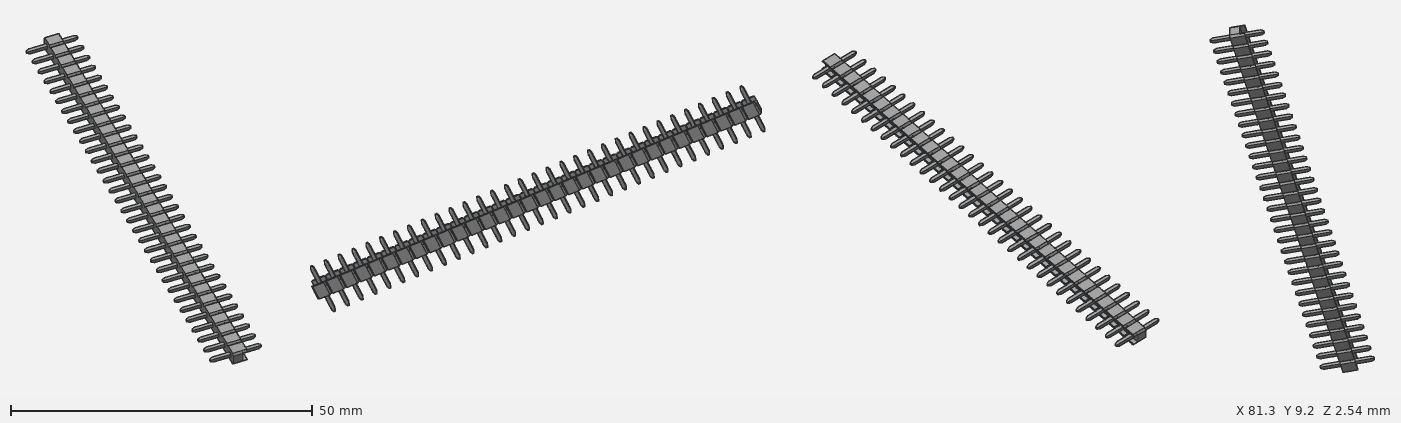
import cadquery as cq

pin_count = 32
row_length = 81.3
pitch = row_length / pin_count

body_height = pitch
body_depth = pitch
bevel_width = 0.3
bevel_height = 0.45

groove_depth = 0.8
groove_height = 1.8

pin_length = 9.2
rear_reach = 3.0
pin_width = 0.64
pin_offset = -0.12
tip_length = 0.53
tip_width = 0.3

body_rear = body_depth / 2
pin_rear = body_rear + rear_reach
pin_front = pin_rear - pin_length


def block_center(index):
    """X of a block's middle, with the row centred on X = 0."""
    return (index - (pin_count - 1) / 2) * pitch


def body_outline():
    """Closed XZ outline of the blocks: along the top, then back along the bottom."""
    half_height = body_height / 2
    half_flat = pitch / 2 - bevel_width
    neck = half_height - bevel_height
    top = [(-row_length / 2, neck)]
    for index in range(pin_count):
        x = block_center(index)
        top.append((x - half_flat, half_height))
        top.append((x + half_flat, half_height))
        top.append((x + pitch / 2, neck))
    bottom = [(x, -z) for x, z in reversed(top)]
    return top + bottom


def make_body():
    """Row of bevelled blocks with the groove cut along its +Y face."""
    blocks = (
        cq.Workplane("XZ", origin=(0, body_rear, 0))
        .polyline(body_outline())
        .close()
        .extrude(body_depth)
    )
    groove = cq.Workplane("XY").box(row_length, groove_depth, groove_height)
    return blocks.cut(groove.translate((0, body_rear - groove_depth / 2, 0)))


def make_tip(base_y, direction):
    """Tapered pin end with its wide base at base_y, pointing to +Y (1) or -Y (-1)."""
    base = cq.Plane(origin=(0, base_y, 0), xDir=(1, 0, 0), normal=(0, direction, 0))
    return (
        cq.Workplane(base)
        .rect(pin_width, pin_width)
        .workplane(offset=tip_length)
        .rect(tip_width, tip_width)
        .loft(ruled=True)
    )


def make_pin():
    """One pin at X = 0 with both of its tips."""
    shank_front = pin_front + tip_length
    shank_rear = pin_rear - tip_length
    shank = (
        cq.Workplane("XZ", origin=(0, shank_rear, 0))
        .rect(pin_width, pin_width)
        .extrude(shank_rear - shank_front)
    )
    return shank.union(make_tip(shank_front, -1)).union(make_tip(shank_rear, 1))


body = make_body().val()
pin = make_pin().val()
pins = [
    pin.translate(cq.Vector(block_center(index) + pin_offset, 0, 0))
    for index in range(pin_count)
]
fused = body.fuse(*pins)
result = cq.Workplane(fused.Solids()[0])